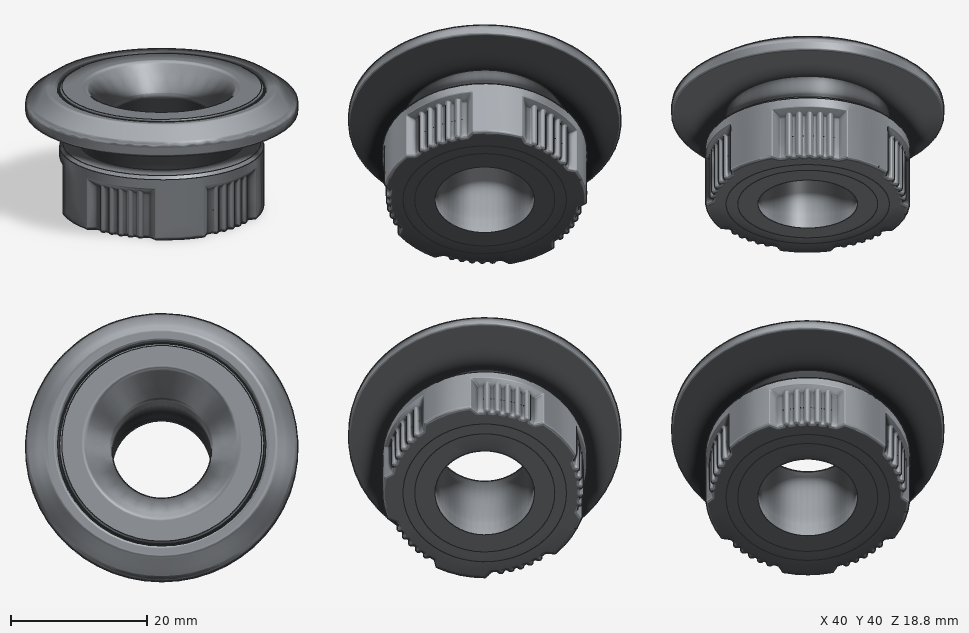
import cadquery as cq
import math

TOTAL_HEIGHT = 18.8
FLANGE_THICKNESS = 4.0
NUT_HEIGHT = 10.0

FLANGE_RADIUS = 20.0
BEVEL_WIDTH = 3.0
BEVEL_ANGLE = 35.0
BEVEL_FILLET = 1.0
FLANGE_BOTTOM_FILLET = 0.3
NECK_RADIUS = 12.0
RECESS_RADIUS = 30.6 / 2
RECESS_DEPTH = 2.0
RECESS_LIP_FILLET = 0.5

BUSHING_HEAD_RADIUS = 15.0
BUSHING_HEAD_CHAMFER = 0.3
BUSHING_BARREL_RADIUS = 20.55 / 2
BUSHING_BORE_RADIUS = 14.6 / 2
FUNNEL_DEPTH = 4.0
FUNNEL_FILLET = 1.0

NUT_RADIUS = 15.0
NUT_TOP_CHAMFER = 0.5
NUT_BOTTOM_FILLET = 0.5

GRIP_COUNT = 5
FIRST_GRIP_ANGLE = -90.0
GRIP_TOP = 8.0
GRIP_FLOOR_RADIUS = 14.0
GRIP_FLOOR_HALF_ANGLE = 17.9
GRIP_MOUTH_HALF_ANGLE = 21.6
GRIP_FLOOR_FILLET = 0.25
GRIP_ROOF_FILLET = 0.15
GRIP_MOUTH_FILLET = 0.25
RIDGES_PER_GRIP = 5
RIDGE_PITCH_ANGLE = 6.2
RIDGE_RADIUS = 0.5

CUT_MARGIN = 0.8
TOLERANCE = 0.005


def polar(radius, degrees):
    """Point in the XY plane at a radius and an angle."""
    angle = math.radians(degrees)
    return (radius * math.cos(angle), radius * math.sin(angle))


def axis_distance(point):
    """Distance of a point from the Z axis."""
    return math.hypot(point.x, point.y)


def vertex_distances(edge):
    """Distances of an edge's end points from the Z axis."""
    return [axis_distance(vertex.Center()) for vertex in edge.Vertices()]


def revolve_profile(profile):
    """Turn a closed outline of (radius, height) points around the Z axis."""
    return cq.Workplane("XZ").polyline(profile).close().revolve(360, (0, 0), (0, 1))


def fillet_circle(body, radius, height, fillet_radius):
    """Round the circular edge with this radius and height."""

    def is_wanted(edge):
        if edge.geomType() != "CIRCLE":
            return False
        return abs(edge.radius() - radius) < TOLERANCE and abs(edge.Center().z - height) < TOLERANCE

    return body.edges().filter(is_wanted).fillet(fillet_radius)


def make_housing():
    """Flange and neck with a through bore and a recess for the bushing head."""
    flange_bottom = TOTAL_HEIGHT - FLANGE_THICKNESS
    bevel_bottom = TOTAL_HEIGHT - BEVEL_WIDTH * math.tan(math.radians(BEVEL_ANGLE))
    bevel_inner_radius = FLANGE_RADIUS - BEVEL_WIDTH
    recess_floor = TOTAL_HEIGHT - RECESS_DEPTH
    recess_gap = RECESS_RADIUS - BUSHING_HEAD_RADIUS
    body = revolve_profile([
        (BUSHING_BARREL_RADIUS, 0),
        (NECK_RADIUS, 0),
        (NECK_RADIUS, flange_bottom),
        (FLANGE_RADIUS, flange_bottom),
        (FLANGE_RADIUS, bevel_bottom),
        (bevel_inner_radius, TOTAL_HEIGHT),
        (RECESS_RADIUS, TOTAL_HEIGHT),
        (RECESS_RADIUS, recess_floor + recess_gap),
        (BUSHING_HEAD_RADIUS, recess_floor),
        (BUSHING_BARREL_RADIUS, recess_floor),
    ])
    body = fillet_circle(body, FLANGE_RADIUS, bevel_bottom, BEVEL_FILLET)
    body = fillet_circle(body, bevel_inner_radius, TOTAL_HEIGHT, BEVEL_FILLET)
    body = fillet_circle(body, FLANGE_RADIUS, flange_bottom, FLANGE_BOTTOM_FILLET)
    return fillet_circle(body, RECESS_RADIUS, TOTAL_HEIGHT, RECESS_LIP_FILLET)


def make_bushing():
    """Headed bushing with a rounded 45 degree funnel leading into its bore."""
    head_bottom = TOTAL_HEIGHT - RECESS_DEPTH
    funnel_radius = BUSHING_BORE_RADIUS + FUNNEL_DEPTH
    funnel_bottom = TOTAL_HEIGHT - FUNNEL_DEPTH
    body = revolve_profile([
        (BUSHING_BORE_RADIUS, 0),
        (BUSHING_BARREL_RADIUS, 0),
        (BUSHING_BARREL_RADIUS, head_bottom),
        (BUSHING_HEAD_RADIUS, head_bottom),
        (BUSHING_HEAD_RADIUS, TOTAL_HEIGHT - BUSHING_HEAD_CHAMFER),
        (BUSHING_HEAD_RADIUS - BUSHING_HEAD_CHAMFER, TOTAL_HEIGHT),
        (funnel_radius, TOTAL_HEIGHT),
        (BUSHING_BORE_RADIUS, funnel_bottom),
    ])
    body = fillet_circle(body, funnel_radius, TOTAL_HEIGHT, FUNNEL_FILLET)
    return fillet_circle(body, BUSHING_BORE_RADIUS, funnel_bottom, FUNNEL_FILLET)


def make_grip_prism():
    """Prism with the plan shape of one grip, centred on +X, without the ridges that stay standing."""
    floor_x, floor_y = polar(GRIP_FLOOR_RADIUS, GRIP_FLOOR_HALF_ANGLE)
    mouth_x, mouth_y = polar(NUT_RADIUS, GRIP_MOUTH_HALF_ANGLE)
    wall_length = math.hypot(mouth_x - floor_x, mouth_y - floor_y)
    extension = 1 + CUT_MARGIN / wall_length
    outer_x = floor_x + extension * (mouth_x - floor_x)
    outer_y = floor_y + extension * (mouth_y - floor_y)
    prism = (
        cq.Workplane("XY")
        .moveTo(floor_x, -floor_y)
        .threePointArc((GRIP_FLOOR_RADIUS, 0), (floor_x, floor_y))
        .lineTo(outer_x, outer_y)
        .threePointArc((math.hypot(outer_x, outer_y), 0), (outer_x, -outer_y))
        .close()
        .extrude(GRIP_TOP + CUT_MARGIN)
    )
    for index in range(RIDGES_PER_GRIP):
        angle = (index - (RIDGES_PER_GRIP - 1) / 2) * RIDGE_PITCH_ANGLE
        ridge_center = polar(GRIP_FLOOR_RADIUS, angle)
        ridge = cq.Workplane("XY").center(*ridge_center).circle(RIDGE_RADIUS)
        prism = prism.cut(ridge.extrude(GRIP_TOP + CUT_MARGIN))
    floor_limit = GRIP_FLOOR_RADIUS + TOLERANCE
    floor_edges = prism.edges("|Z").filter(lambda edge: axis_distance(edge.Center()) < floor_limit)
    return floor_edges.fillet(GRIP_FLOOR_FILLET)


def make_grip_cutter():
    """Solid removed from the nut for one grip; its roof slopes at 45 degrees up to the grip top."""
    outer_radius = NUT_RADIUS + 2 * CUT_MARGIN
    under_roof = revolve_profile([
        (NUT_RADIUS - GRIP_TOP, 0),
        (outer_radius, 0),
        (outer_radius, GRIP_TOP + outer_radius - NUT_RADIUS),
    ])
    cutter = make_grip_prism().intersect(under_roof)
    ridge_reach = GRIP_FLOOR_RADIUS + RIDGE_RADIUS
    roof_edges = cutter.faces("%CONE").edges()
    inner_edges = roof_edges.filter(lambda edge: max(vertex_distances(edge)) < ridge_reach)
    return inner_edges.fillet(GRIP_ROOF_FILLET)


def round_grip_mouths(nut):
    """Round the edges where the grips break through the nut's cylindrical side."""

    def is_mouth(edge):
        on_side = all(abs(distance - NUT_RADIUS) < TOLERANCE for distance in vertex_distances(edge))
        return on_side and TOLERANCE < edge.Center().z < GRIP_TOP + TOLERANCE

    return nut.edges().filter(is_mouth).fillet(GRIP_MOUTH_FILLET)


def make_nut():
    """Ring around the neck with ridged grips sunk into its side."""
    nut = cq.Workplane("XY").circle(NUT_RADIUS).extrude(NUT_HEIGHT)
    nut = nut.faces(">Z").edges().chamfer(NUT_TOP_CHAMFER)
    cutter = make_grip_cutter()
    for index in range(GRIP_COUNT):
        angle = FIRST_GRIP_ANGLE + index * 360 / GRIP_COUNT
        nut = nut.cut(cutter.rotate((0, 0, 0), (0, 0, 1), angle))
    nut = round_grip_mouths(nut)
    nut = nut.faces("<Z").edges().fillet(NUT_BOTTOM_FILLET)
    bore = cq.Workplane("XY").circle(NECK_RADIUS).extrude(NUT_HEIGHT)
    return nut.cut(bore)


housing = make_housing()
bushing = make_bushing()
nut = make_nut()

result = cq.Compound.makeCompound([body.solids().val() for body in (housing, bushing, nut)])